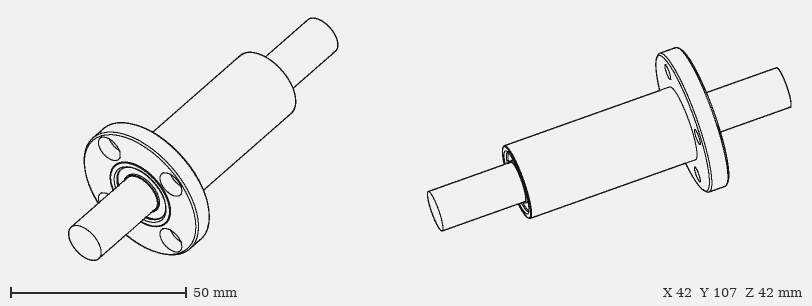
import cadquery as cq


shaft_diameter = 12.0
shaft_length = 107.0

body_diameter = 22.0
body_length = 57.0
body_chamfer = 0.2
front_y = -body_length / 2

flange_diameter = 42.0
flange_thickness = 6.0
flange_chamfer = 0.5

hole_diameter = 4.5
counterbore_diameter = 8.0
counterbore_depth = 4.4
bolt_circle_diameter = 32.0
hole_count = 4
first_hole_angle = 45.0

recess_diameter = 18.0
recess_mouth_diameter = 19.0
recess_depth = 1.0
recess_chamfer = (recess_mouth_diameter - recess_diameter) / 2

lip_diameter = 12.7
lip_height = 0.5


def cylinder(diameter, length, start_y):
    """Cylinder about the Y axis, running from start_y toward +Y."""
    disc = cq.Workplane("XZ", origin=(0, start_y, 0)).circle(diameter / 2)
    return disc.extrude(-length)


def end_recess():
    """Chamfered ring cut into the -Y end of the body, leaving the shaft and the seal lip."""
    shaft_radius = shaft_diameter / 2
    lip_radius = lip_diameter / 2
    recess_radius = recess_diameter / 2
    floor_y = front_y + recess_depth
    lip_y = floor_y - lip_height
    profile = [
        (shaft_radius, front_y),
        (recess_mouth_diameter / 2, front_y),
        (recess_radius, front_y + recess_chamfer),
        (recess_radius, floor_y),
        (lip_radius, floor_y),
        (lip_radius, lip_y),
        (shaft_radius, lip_y),
    ]
    return cq.Workplane("XY").polyline(profile).close().revolve(360, (0, 0, 0), (0, 1, 0))


def seam_groove():
    """V groove where the body's chamfered edge meets the flange face."""
    body_radius = body_diameter / 2
    profile = [
        (body_radius - body_chamfer, front_y),
        (body_radius, front_y),
        (body_radius, front_y + body_chamfer),
    ]
    return cq.Workplane("XY").polyline(profile).close().revolve(360, (0, 0, 0), (0, 1, 0))


def screw_holes():
    """Counterbored through holes on the bolt circle, entered from the flange face."""
    ring = cq.Workplane("XZ", origin=(0, front_y, 0)).polarArray(
        bolt_circle_diameter / 2, first_hole_angle, 360, hole_count
    )
    through = ring.circle(hole_diameter / 2).extrude(-flange_thickness)
    counterbores = ring.circle(counterbore_diameter / 2).extrude(-counterbore_depth)
    return through.union(counterbores)


shaft = cylinder(shaft_diameter, shaft_length, -shaft_length / 2)
body = cylinder(body_diameter, body_length, front_y).faces(">Y").chamfer(body_chamfer)
flange = cylinder(flange_diameter, flange_thickness, front_y).edges().chamfer(flange_chamfer)

front_recess = end_recess()
back_recess = front_recess.mirror("XZ")

result = (
    shaft.union(body)
    .union(flange)
    .cut(front_recess)
    .cut(back_recess)
    .cut(seam_groove())
    .cut(screw_holes())
)